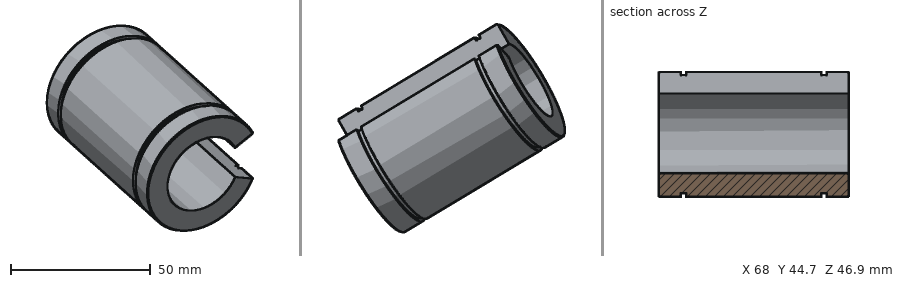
import cadquery as cq
import math

length = 68.0
outer_diameter = 46.9
bore_diameter = 30.0
opening_angle = 50.0
end_chamfer = 0.35

groove_diameter = 44.5
groove_width = 1.85
groove_end_distance = 7.95


def cylinder_along_x(diameter, start, width):
    """Solid cylinder on the X axis, from start to start + width."""
    return cq.Workplane("YZ").workplane(offset=start).circle(diameter / 2).extrude(width)


def groove_ring(start):
    """Ring to remove for one retaining-ring groove."""
    blank = cylinder_along_x(outer_diameter + groove_width, start, groove_width)
    return blank.cut(cylinder_along_x(groove_diameter, start, groove_width))


def opening_wedge():
    """Wedge with its edge on the axis, reaching past the outer surface."""
    reach = outer_diameter
    half_height = reach * math.tan(math.radians(opening_angle / 2))
    return (
        cq.Workplane("YZ")
        .workplane(offset=-length / 2)
        .polyline([(0, 0), (reach, half_height), (reach, -half_height)])
        .close()
        .extrude(length)
    )


sleeve = cylinder_along_x(outer_diameter, -length / 2, length)
sleeve = sleeve.faces("<X or >X").edges().chamfer(end_chamfer)
sleeve = sleeve.cut(cylinder_along_x(bore_diameter, -length / 2, length))

left_groove_start = -length / 2 + groove_end_distance
right_groove_start = -left_groove_start - groove_width
for groove_start in (left_groove_start, right_groove_start):
    sleeve = sleeve.cut(groove_ring(groove_start))

result = sleeve.cut(opening_wedge())